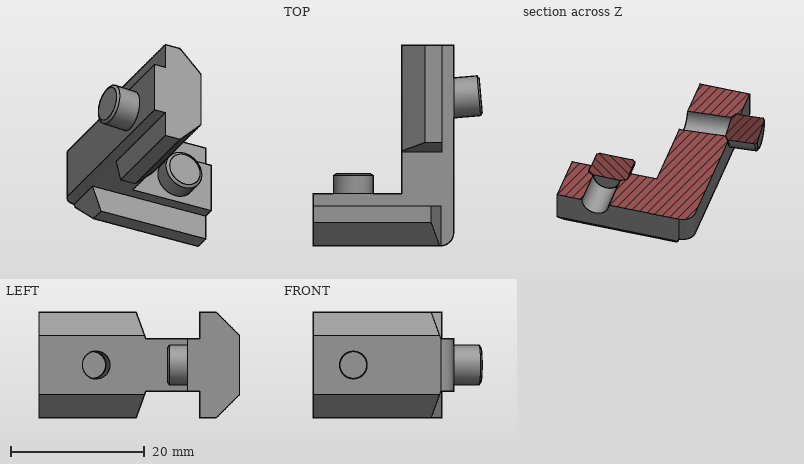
import cadquery as cq
import math

long_leg = 30.0
short_leg = 21.0
arm_depth = 7.8
arm_height = 15.8
neck_thickness = 1.8
neck_height = 7.9
flat_height = 8.8
corner_radius = 2.0
wing_end_angle = 20.0
short_wing_length = 19.05
long_wing_length = 16.0

hole_diameter = 4.15
screw_diameter = 6.0
screw_length = 5.0
tip_diameter = 4.0
tip_bevel_length = 0.6
head_bevel_length = 0.3
head_bevel_width = 0.45
short_screw_x = 6.0
short_screw_projection = 3.0
long_screw_y = 22.1
long_screw_projection = 4.05
long_screw_tilt = 5.0


def make_winged_arm(wing_length):
    """T-slot wings along +X, narrow face on Y = 0, sloped at the far end."""
    half_height = arm_height / 2
    half_neck = neck_height / 2
    half_flat = flat_height / 2
    wing_slope_depth = half_height - half_flat
    wing_back = arm_depth - neck_thickness
    section = (
        cq.Workplane("YZ")
        .moveTo(0, half_flat)
        .lineTo(wing_slope_depth, half_height)
        .lineTo(wing_back, half_height)
        .lineTo(wing_back, -half_height)
        .lineTo(wing_slope_depth, -half_height)
        .lineTo(0, -half_flat)
        .close()
        .extrude(wing_length)
    )
    end_setback = (half_height - half_neck) * math.tan(math.radians(wing_end_angle))
    top_length = wing_length - end_setback
    end_outline = (
        cq.Workplane("XZ")
        .moveTo(0, half_height)
        .lineTo(top_length, half_height)
        .lineTo(wing_length, half_neck)
        .lineTo(wing_length, -half_neck)
        .lineTo(top_length, -half_height)
        .lineTo(0, -half_height)
        .close()
        .extrude(-arm_depth)
    )
    return section.intersect(end_outline)


def make_core():
    """L-shaped plate that joins the arms and forms both necks."""
    inner_x = short_leg - arm_depth
    return (
        cq.Workplane("XY", origin=(0, 0, -neck_height / 2))
        .lineTo(short_leg, 0)
        .lineTo(short_leg, long_leg)
        .lineTo(inner_x, long_leg)
        .lineTo(inner_x, arm_depth)
        .lineTo(0, arm_depth)
        .close()
        .extrude(neck_height)
        .edges("|Z and >X and <Y")
        .fillet(corner_radius)
    )


def make_screw(plane, projection):
    """Headless screw along the plane normal, projecting from its origin."""
    radius = screw_diameter / 2
    tip_radius = tip_diameter / 2
    tip_end = projection - screw_length
    profile = (
        cq.Workplane("XZ")
        .moveTo(0, tip_end)
        .lineTo(tip_radius, tip_end)
        .lineTo(radius, tip_end + tip_bevel_length)
        .lineTo(radius, projection - head_bevel_length)
        .lineTo(radius - head_bevel_width, projection)
        .lineTo(0, projection)
        .close()
    )
    screw = profile.revolve(360, (0, 0), (0, 1)).val()
    return screw.moved(cq.Location(plane))


def make_hole(plane):
    """Through-hole cutter on the screw axis, clear of both arm faces."""
    clearance = arm_depth / 2
    return (
        cq.Workplane(plane)
        .workplane(offset=clearance)
        .circle(hole_diameter / 2)
        .extrude(-(arm_depth + 2 * clearance))
    )


tilt = math.radians(long_screw_tilt)
short_screw_plane = cq.Plane(
    origin=(short_screw_x, arm_depth, 0), xDir=(1, 0, 0), normal=(0, 1, 0)
)
long_screw_plane = cq.Plane(
    origin=(short_leg, long_screw_y, 0),
    xDir=(0, 0, 1),
    normal=(math.cos(tilt), math.sin(tilt), 0),
)
screw_placements = [
    (short_screw_plane, short_screw_projection),
    (long_screw_plane, long_screw_projection),
]

short_arm = make_winged_arm(short_wing_length)
long_arm = (
    make_winged_arm(long_wing_length)
    .rotate((0, 0, 0), (0, 0, 1), -90)
    .translate((short_leg - arm_depth, long_leg, 0))
)
bracket = make_core().union(short_arm).union(long_arm)

screws = []
for screw_plane, screw_projection in screw_placements:
    screw = make_screw(screw_plane, screw_projection)
    bracket = bracket.cut(make_hole(screw_plane)).cut(cq.Workplane(screw))
    screws.append(screw)

result = cq.Compound.makeCompound([bracket.val(), *screws])